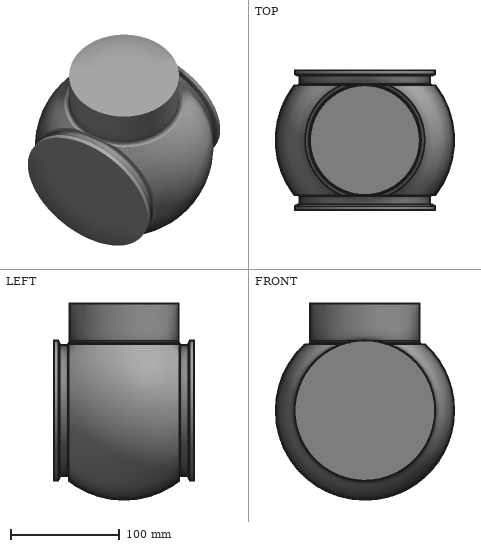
import cadquery as cq

overall_height = 181.4
ball_radius = 82.5

port_radius = 50.8
port_top = overall_height - ball_radius
port_seat = 61.3
port_weld_height = 1.5
port_weld_width = 1.0
port_joint_height = 1.5
port_joint_depth = 0.2

flange_span = 129.3
flange_radius = 64.7
flange_rim_thickness = 3.8
flange_taper_length = 1.5
flange_taper_radius = 62.0
neck_radius = 60.5
neck_seat = 50.8
neck_weld_length = 1.0
neck_weld_width = 1.0


def make_ball():
    """Ball flattened at the top and at both sides."""
    ball = cq.Workplane("XY").sphere(ball_radius)
    envelope_height = ball_radius + port_seat
    envelope = cq.Workplane("XY").box(2 * ball_radius, 2 * neck_seat, envelope_height)
    envelope = envelope.translate((0, 0, port_seat - envelope_height / 2))
    return ball.intersect(envelope)


def make_port():
    """Upright cylinder with a sloped weld and a shallow joint band at its foot."""
    weld_top = port_seat + port_weld_height
    joint_top = weld_top + port_joint_height
    joint_radius = port_radius - port_joint_depth
    profile = [
        (0, 0),
        (port_radius + port_weld_width, 0),
        (port_radius + port_weld_width, port_seat),
        (joint_radius, weld_top),
        (joint_radius, joint_top),
        (port_radius, joint_top),
        (port_radius, port_top),
        (0, port_top),
    ]
    return cq.Workplane("XZ").polyline(profile).close().revolve(360, (0, 0), (0, 1))


def make_flanged_neck():
    """Neck along +Y with a sloped weld at the ball and a tapered-back flange."""
    flange_face = flange_span / 2
    rim_back = flange_face - flange_rim_thickness
    taper_back = rim_back - flange_taper_length
    profile = [
        (0, 0),
        (neck_radius, 0),
        (neck_radius + neck_weld_width, neck_seat),
        (neck_radius, neck_seat + neck_weld_length),
        (neck_radius, taper_back),
        (flange_taper_radius, taper_back),
        (flange_radius, rim_back),
        (flange_radius, flange_face),
        (0, flange_face),
    ]
    return cq.Workplane("XY").polyline(profile).close().revolve(360, (0, 0), (0, 1))


flanged_neck = make_flanged_neck()
result = make_ball().union(make_port()).union(flanged_neck).union(flanged_neck.mirror("XZ"))